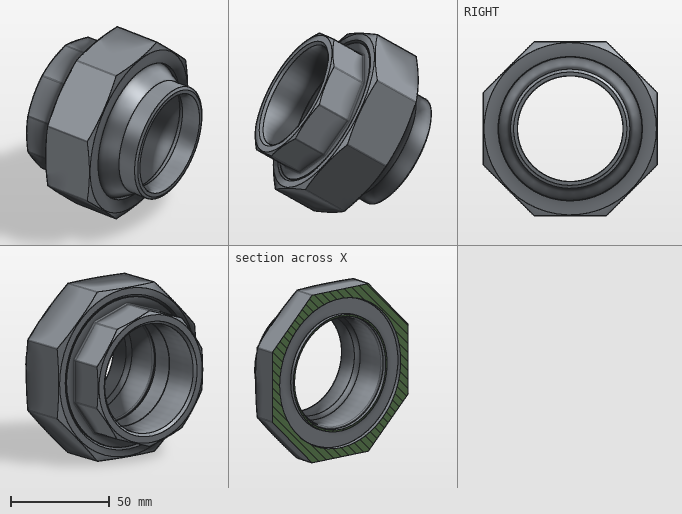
import cadquery as cq
import math


NUT_START = 18.9
COLLAR_START = 19.4
THREAD_END = 20.9
TAIL_END = 32.2
GASKET_END = 34.4
FLANGE_END = 40.5
NUT_END = 46.1
CONE_END = 54.6
UNION_LENGTH = 65.0

TAIL_ACROSS_FLATS = 67.1
TAIL_SIDES = 10
TAIL_EDGE_FILLET = 0.9
TAIL_ROOT_FILLET = 0.8
TAIL_FACE_DIA = 66.2
TAIL_CROWN_ANGLE = 25.0
THREAD_DIA = 56.7
TAIL_MOUTH_DIA = 59.5
TAIL_BORE_DIA = 56.5
COLLAR_DIA = 77.5

NUT_ACROSS_FLATS = 88.0
NUT_SIDES = 8
NUT_EDGE_FILLET = 0.6
NUT_FACE_DIA = 87.1
NUT_CROWN_ANGLE = 20.0
NUT_BORE_DIA = 77.9
NUT_MOUTH_DIA = 80.0
NUT_LIP_DIA = 73.0

CROWN_REACH = 0.6

GASKET_OUTER_DIA = 61.0
GASKET_INNER_DIA = 58.6

NECK_DIA = 72.5
WELD_DIA = 60.3
CONE_ANGLE = 30.0
WELD_BEVEL_LENGTH = 0.9
WELD_BEVEL_DEPTH = 1.5
WELD_BORE_DIA = 53.3
WELD_BORE_FILLET = 0.6


def cylinder(diameter, start, end):
    """Solid round bar on the X axis between two stations."""
    return cq.Workplane("YZ", origin=(start, 0, 0)).circle(diameter / 2).extrude(end - start)


def turned(profile):
    """Revolve a closed list of (station, radius) points about the X axis."""
    return cq.Workplane("XY").polyline(profile).close().revolve(360, (0, 0, 0), (1, 0, 0))


def cone_length(large_dia, small_dia):
    """Axial length of a cone between two diameters."""
    return (large_dia - small_dia) / 2 / math.tan(math.radians(CONE_ANGLE))


def polygon_bar(across_flats, sides, edge_fillet, start, end):
    """Regular polygon bar on the X axis with flats square to Y and rounded long edges."""
    corner_radius = across_flats / 2 / math.cos(math.pi / sides)
    corners = []
    for index in range(sides):
        angle = (2 * index + 1) * math.pi / sides
        corners.append((corner_radius * math.cos(angle), corner_radius * math.sin(angle)))
    bar = cq.Workplane("YZ", origin=(start, 0, 0)).polyline(corners).close().extrude(end - start)
    return bar.edges("|X").fillet(edge_fillet)


def crown(across_flats, face_dia, angle, start, end, both_ends):
    """Round envelope whose coned ends trim the corners of a polygon bar."""
    face_radius = face_dia / 2
    outer_radius = across_flats * CROWN_REACH
    rise = (outer_radius - face_radius) * math.tan(math.radians(angle))
    profile = [(start, 0), (start, face_radius), (start + rise, outer_radius)]
    if both_ends:
        profile += [(end - rise, outer_radius), (end, face_radius)]
    else:
        profile += [(end, outer_radius)]
    profile += [(end, 0)]
    return turned(profile)


def make_tail():
    grip = polygon_bar(TAIL_ACROSS_FLATS, TAIL_SIDES, TAIL_EDGE_FILLET, 0, COLLAR_START)
    grip = grip.intersect(
        crown(TAIL_ACROSS_FLATS, TAIL_FACE_DIA, TAIL_CROWN_ANGLE, 0, COLLAR_START, both_ends=False)
    )
    tail = grip.union(cylinder(COLLAR_DIA, COLLAR_START, TAIL_END))
    tail = fillet_root(tail)
    mouth_depth = (TAIL_MOUTH_DIA - THREAD_DIA) / 2
    runout = cone_length(THREAD_DIA, TAIL_BORE_DIA)
    bore = turned([
        (0, 0),
        (0, TAIL_MOUTH_DIA / 2),
        (mouth_depth, THREAD_DIA / 2),
        (THREAD_END, THREAD_DIA / 2),
        (THREAD_END + runout, TAIL_BORE_DIA / 2),
        (TAIL_END, TAIL_BORE_DIA / 2),
        (TAIL_END, 0),
    ])
    return tail.cut(bore)


def fillet_root(tail):
    """Round the corner between the grip and the collar face."""
    collar_face = tail.faces("|X").faces("<X[1]")
    outline = collar_face.val().innerWires()[0]
    return tail.newObject(outline.Edges()).fillet(TAIL_ROOT_FILLET)


def make_nut():
    mouth_depth = (NUT_MOUTH_DIA - NUT_BORE_DIA) / 2
    nut = polygon_bar(NUT_ACROSS_FLATS, NUT_SIDES, NUT_EDGE_FILLET, NUT_START, NUT_END)
    nut = nut.intersect(
        crown(NUT_ACROSS_FLATS, NUT_FACE_DIA, NUT_CROWN_ANGLE, NUT_START, NUT_END, both_ends=True)
    )
    bore = turned([
        (NUT_START, 0),
        (NUT_START, NUT_MOUTH_DIA / 2),
        (NUT_START + mouth_depth, NUT_BORE_DIA / 2),
        (FLANGE_END, NUT_BORE_DIA / 2),
        (FLANGE_END, NUT_LIP_DIA / 2),
        (NUT_END, NUT_LIP_DIA / 2),
        (NUT_END, 0),
    ])
    return nut.cut(bore)


def make_gasket():
    ring = cylinder(GASKET_OUTER_DIA, TAIL_END, GASKET_END)
    return ring.cut(cylinder(GASKET_INNER_DIA, TAIL_END, GASKET_END))


def make_weld_end():
    outer_cone = cone_length(NECK_DIA, WELD_DIA)
    inner_cone = cone_length(TAIL_BORE_DIA, WELD_BORE_DIA)
    body = turned([
        (GASKET_END, TAIL_BORE_DIA / 2),
        (GASKET_END, COLLAR_DIA / 2),
        (FLANGE_END, COLLAR_DIA / 2),
        (FLANGE_END, NECK_DIA / 2),
        (CONE_END - outer_cone, NECK_DIA / 2),
        (CONE_END, WELD_DIA / 2),
        (UNION_LENGTH - WELD_BEVEL_LENGTH, WELD_DIA / 2),
        (UNION_LENGTH, WELD_DIA / 2 - WELD_BEVEL_DEPTH),
        (UNION_LENGTH, WELD_BORE_DIA / 2),
        (CONE_END, WELD_BORE_DIA / 2),
        (CONE_END - inner_cone, TAIL_BORE_DIA / 2),
    ])
    bore_rim = body.faces("|X").faces("<X").edges(cq.selectors.RadiusNthSelector(0))
    return bore_rim.fillet(WELD_BORE_FILLET)


tail = make_tail()
nut = make_nut()
gasket = make_gasket()
weld_end = make_weld_end()

result = cq.Compound.makeCompound([tail.val(), nut.val(), gasket.val(), weld_end.val()])